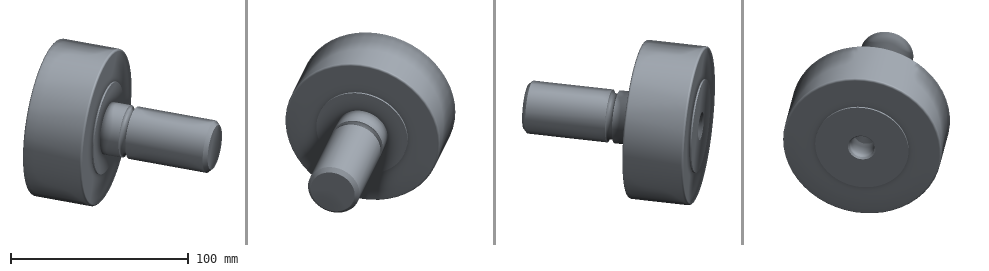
import cadquery as cq
import math

total_length = 100.0

ring_diameter = 90.0
ring_width = 35.0
ring_edge_radius = 1.2

flange_diameter = 53.0
flange_thickness = 1.0
shank_diameter = 30.0
shank_end_chamfer = 2.2

groove_center_x = 50.0
groove_width = 4.0
groove_depth = 2.0

hole_diameter = 14.0
hole_depth = 15.0
hole_tip_angle = 120.0
hole_mouth_chamfer = 0.9

full_turn = 360

ring_start_x = flange_thickness
ring_end_x = ring_start_x + ring_width


def cylinder(diameter, start_x, length):
    """Solid cylinder along +X from start_x."""
    return cq.Workplane("YZ", origin=(start_x, 0, 0)).circle(diameter / 2).extrude(length)


def groove_cutter():
    """Torus that cuts the round-bottomed groove into the shank."""
    half_width = groove_width / 2
    arc_radius = (half_width**2 + groove_depth**2) / (2 * groove_depth)
    arc_center_radius = shank_diameter / 2 - groove_depth + arc_radius
    return (
        cq.Workplane("XY")
        .center(groove_center_x, arc_center_radius)
        .circle(arc_radius)
        .revolve(full_turn, (0, -arc_center_radius, 0), (1, -arc_center_radius, 0))
    )


def head_hole_cutter():
    """Blind hole with a conical tip and a chamfered mouth, revolved about X."""
    radius = hole_diameter / 2
    tip_length = radius / math.tan(math.radians(hole_tip_angle / 2))
    return (
        cq.Workplane("XY")
        .lineTo(0, radius + hole_mouth_chamfer)
        .lineTo(hole_mouth_chamfer, radius)
        .lineTo(hole_depth, radius)
        .lineTo(hole_depth + tip_length, 0)
        .close()
        .revolve(full_turn, (0, 0, 0), (1, 0, 0))
    )


def make_stud():
    """Stud with its head flange, grooved shank and blind hole."""
    shank = cylinder(shank_diameter, 0, total_length).faces(">X").chamfer(shank_end_chamfer)
    flange = cylinder(flange_diameter, 0, flange_thickness)
    return shank.union(flange).cut(groove_cutter()).cut(head_hole_cutter())


def make_outer_ring():
    """Outer ring with rounded rims, running on the shank."""
    rounded_disc = (
        cylinder(ring_diameter, ring_start_x, ring_width)
        .faces("<X or >X")
        .edges()
        .fillet(ring_edge_radius)
    )
    return rounded_disc.cut(cylinder(shank_diameter, ring_start_x, ring_width))


def make_retaining_washer():
    """Washer on the shank that holds the ring against the head flange."""
    disc = cylinder(flange_diameter, ring_end_x, flange_thickness)
    return disc.cut(cylinder(shank_diameter, ring_end_x, flange_thickness))


stud = make_stud()
outer_ring = make_outer_ring()
retaining_washer = make_retaining_washer()

result = cq.Compound.makeCompound([stud.val(), outer_ring.val(), retaining_washer.val()])